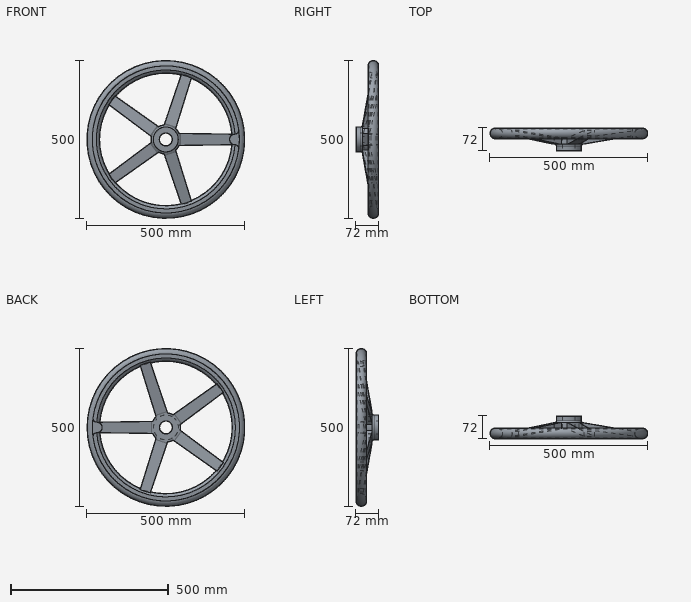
import cadquery as cq
import math

outer_radius = 250.0
rim_half_width = 17.0
step_radius = outer_radius - rim_half_width
step_depth = 3.0
rim_inner_radius = 209.5
band_inner_radius = 220.0

hub_front = -55.0
hub_back = -13.5
collar_radius = 39.5
hub_radius = 46.5
flare_front = -41.0
flare_back = -34.0
flare_radius = 45.5
bore_radius = 20.0

spoke_count = 5
spoke_root_width = 40.0
spoke_tip_width = 34.0
spoke_root_front = -34.0
spoke_root_back = hub_back
spoke_tip_front = -5.0
spoke_tip_back = 10.0
spoke_tip_radius = 217.5

boss_center = 218.5
boss_radius = 16.5
boss_flare_radius = 13.0
boss_half_depth = rim_half_width - 1.0


def revolve_about_y(profile):
    """Turn a radius/Y profile in the XY plane into a full ring or disc."""
    return profile.close().revolve(360, (0, 0, 0), (0, 1, 0))


def make_rim():
    """Half-round outer rim with a recessed inner band that has a rounded inside."""
    band_half_width = rim_half_width - step_depth
    return revolve_about_y(
        cq.Workplane("XY")
        .moveTo(step_radius, -rim_half_width)
        .threePointArc((outer_radius, 0), (step_radius, rim_half_width))
        .lineTo(step_radius, band_half_width)
        .lineTo(band_inner_radius, band_half_width)
        .threePointArc((rim_inner_radius, 0), (band_inner_radius, -band_half_width))
        .lineTo(step_radius, -band_half_width)
    )


def make_hub():
    """Hub body with a narrower front collar and a concave flare between them."""
    flare_width = flare_radius - collar_radius
    flare_length = flare_back - flare_front
    flare_mid = (
        flare_radius - flare_width * math.sqrt(0.5),
        flare_front + flare_length * math.sqrt(0.5),
    )
    return revolve_about_y(
        cq.Workplane("XY")
        .moveTo(0, hub_front)
        .lineTo(collar_radius, hub_front)
        .lineTo(collar_radius, flare_front)
        .threePointArc(flare_mid, (flare_radius, flare_back))
        .lineTo(hub_radius, flare_back)
        .lineTo(hub_radius, hub_back)
        .lineTo(0, hub_back)
    )


def make_spoke():
    """Spoke along +X, tapered in width and leaning back toward the rim."""
    side = (
        cq.Workplane("XY")
        .moveTo(0, spoke_root_front)
        .lineTo(hub_radius, spoke_root_front)
        .lineTo(spoke_tip_radius, spoke_tip_front)
        .lineTo(spoke_tip_radius, spoke_tip_back)
        .lineTo(hub_radius, spoke_root_back)
        .lineTo(0, spoke_root_back)
        .close()
        .extrude(spoke_root_width, both=True)
    )
    face = (
        cq.Workplane("XZ")
        .moveTo(0, -spoke_root_width / 2)
        .lineTo(spoke_tip_radius, -spoke_tip_width / 2)
        .lineTo(spoke_tip_radius, spoke_tip_width / 2)
        .lineTo(0, spoke_root_width / 2)
        .close()
        .extrude(-hub_front, both=True)
    )
    return side.intersect(face)


def make_boss():
    """Round handle boss, flared with concave arcs into the rim step."""
    reach = boss_radius + boss_flare_radius
    flare_orbit = step_radius - boss_flare_radius
    center_x = (flare_orbit**2 - reach**2 + boss_center**2) / (2 * boss_center)
    center_z = math.sqrt(flare_orbit**2 - center_x**2)
    touch = boss_radius / reach
    boss_touch = (boss_center + (center_x - boss_center) * touch, center_z * touch)
    rim_scale = step_radius / flare_orbit
    rim_touch = (center_x * rim_scale, center_z * rim_scale)
    toward_boss = math.atan2(boss_touch[1] - center_z, boss_touch[0] - center_x)
    toward_rim = math.atan2(center_z, center_x)
    middle = (toward_boss + toward_rim) / 2
    flare_mid = (
        center_x + boss_flare_radius * math.cos(middle),
        center_z + boss_flare_radius * math.sin(middle),
    )
    return (
        cq.Workplane("XZ")
        .moveTo(boss_touch[0], -boss_touch[1])
        .threePointArc((boss_center - boss_radius, 0), boss_touch)
        .threePointArc(flare_mid, rim_touch)
        .threePointArc((step_radius, 0), (rim_touch[0], -rim_touch[1]))
        .threePointArc((flare_mid[0], -flare_mid[1]), (boss_touch[0], -boss_touch[1]))
        .close()
        .extrude(boss_half_depth, both=True)
    )


wheel = make_rim().union(make_hub())
spoke = make_spoke()
for index in range(spoke_count):
    angle = index * 360 / spoke_count
    wheel = wheel.union(spoke.rotate((0, 0, 0), (0, 1, 0), angle))
wheel = wheel.union(make_boss())

bore = cq.Workplane("XZ").circle(bore_radius).extrude(-2 * hub_front, both=True)
result = wheel.cut(bore)